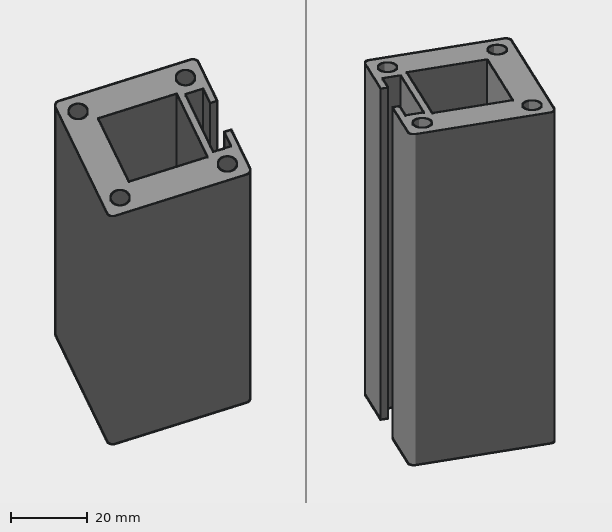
import cadquery as cq

side = 40.0
length = 100.0
corner_radius = 1.6

channel_side = 22.0

hole_diameter = 5.0
hole_spacing = 30.0

slot_opening = 10.0
slot_width = 20.0
slot_lip = 2.0
slot_depth = 7.0


def rectangular_cut(width, y_low, y_high):
    """Full-length prism centred on X, spanning y_low to y_high."""
    return (
        cq.Workplane("XY")
        .center(0, (y_low + y_high) / 2)
        .rect(width, y_high - y_low)
        .extrude(length)
    )


def t_slot():
    face = side / 2
    opening = rectangular_cut(slot_opening, face - slot_depth, face)
    cavity = rectangular_cut(slot_width, face - slot_depth, face - slot_lip)
    return opening.union(cavity)


def screw_holes():
    return (
        cq.Workplane("XY")
        .rect(hole_spacing, hole_spacing, forConstruction=True)
        .vertices()
        .circle(hole_diameter / 2)
        .extrude(length)
    )


body = cq.Workplane("XY").rect(side, side).extrude(length)
body = body.edges("|Z").fillet(corner_radius)
channel = rectangular_cut(channel_side, -channel_side / 2, channel_side / 2)

result = body.cut(channel).cut(screw_holes()).cut(t_slot())